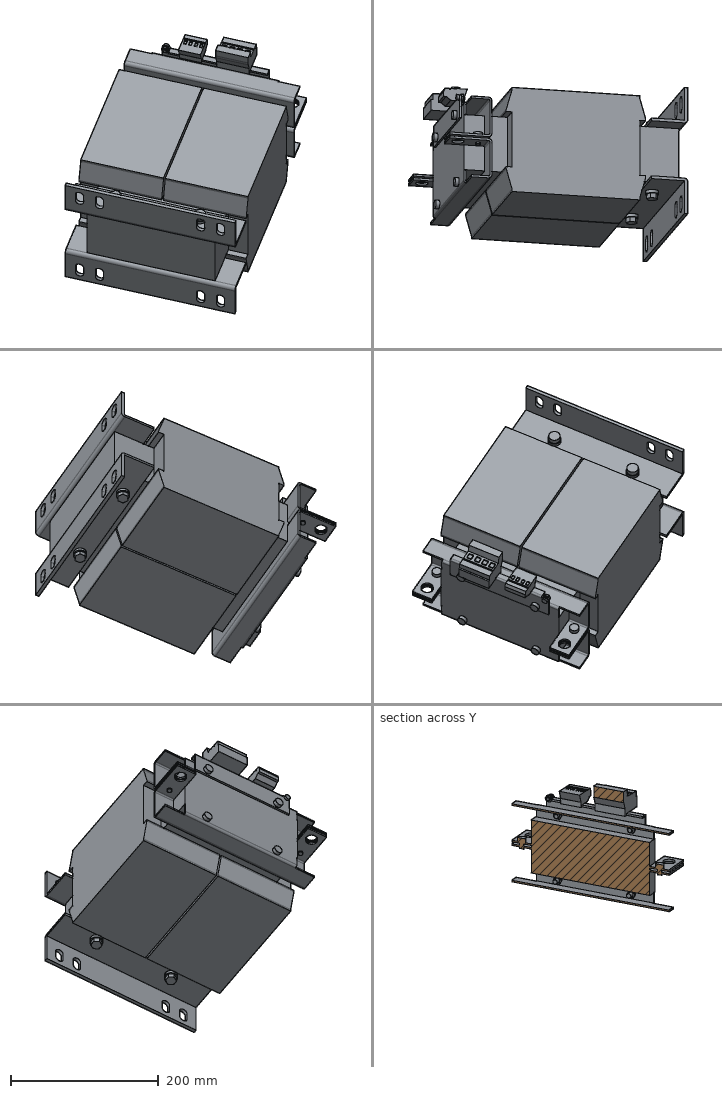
import cadquery as cq


width = 240.0
length = 331.0
height = 193.5
front_y = -length / 2
rear_y = length / 2

core_width = 181.0
core_front = -160.0
core_rear = 138.7
core_half_height = 38.7

coil_width = 236.5
coil_gap = 2.48
coil_front = -99.0
coil_rear = 78.5
coil_half_height = 146.5 / 2
coil_end_height = 3.0
coil_flare = 8.3
coil_flare_lip = 2.5

angle_half_height = 88.7
angle_wall = 5.0
angle_shelf = 4.0
angle_shelf_end = -115.0
angle_bend = 5.3
slot_width = 11.5
slot_length = 22.5
slot_height = 70.0
slot_offsets = (71.5, 99.5)

angle_bolt_x = 60.0
angle_bolt_y = -130.0
angle_bolt_head = 15.5
angle_washer = 18.0
angle_washer_thickness = 4.3
angle_bolt_top = 53.5

sheet = 3.0
channel_front = 107.0
channel_bend = 5.0
channel_half_height = 57.0
channel_gap = 2.3
lip_depth = 3.5
flange_end = core_rear - lip_depth
lip_width = 178.7
lip_bend = 3.3
lug_width = 29.8
lug_hole_x = 105.3
lug_hole_y = 150.5
lug_hole = 16.5
lug_bolt_y = 122.8
lug_bolt_head = 12.5
lug_bolt_head_height = 5.5
lug_bolt_shank = 6.5
lug_bolt_end = 6.3

lip_screw_x = 56.3
upper_lip_screw_z = 47.3
lower_lip_screw_z = -46.7
lip_screw_head = 12.0
lip_screw_head_height = 5.3
lip_screw_shank = 6.5
lip_screw_length = 12.0
lip_nut_height = 2.0

plate_left = -75.8
plate_right = 75.0
plate_thickness = 2.5
plate_top = 70.5
plate_rear = core_rear + plate_thickness
rail_left = -65.0
rail_front = 131.0
rail_bend = 2.48
earth_x = -71.0
earth_z = 68.2
earth_head = 8.0
earth_head_height = 3.3
earth_nut = 10.0
earth_nut_height = 3.0
earth_shank = 5.0
earth_reach = 5.0

terminal_top = height - angle_half_height
terminal_foot_rear = 133.7
terminal_foot_bottom = 68.0
terminal_base = 70.2
opening_y = 141.0
opening_depth = 1.5
groove_width = 1.3
groove_end = 1.0


def box(x0, x1, y0, y1, z0, z1):
    return cq.Workplane("XY").box(x1 - x0, y1 - y0, z1 - z0, centered=False).translate((x0, y0, z0))


def extrude_along_x(points, x0, x1):
    """Extrude a closed (y, z) outline from x0 to x1."""
    return cq.Workplane("YZ", origin=(x0, 0, 0)).polyline(points).close().extrude(x1 - x0)


def rod_z(x, y, z0, z1, diameter):
    return cq.Workplane("XY", origin=(x, y, z0)).circle(diameter / 2).extrude(z1 - z0)


def rod_y(x, z, y0, y1, diameter):
    return cq.Workplane("XZ", origin=(x, y0, z)).circle(diameter / 2).extrude(y0 - y1)


def hexagon_y(x, z, y0, y1, corner_diameter):
    return cq.Workplane("XZ", origin=(x, y0, z)).polygon(6, corner_diameter).extrude(y0 - y1)


def mirrored_z(shape):
    return shape.union(shape.mirror("XY"))


def make_core():
    half = core_width / 2
    core = box(-half, half, core_front, core_rear, -core_half_height, core_half_height)
    gap = coil_gap / 2
    return core.cut(box(-gap, gap, coil_front, coil_rear, -core_half_height, core_half_height))


def make_coil(x0, x1):
    """One coil: a block whose ends flare out over and under the core."""
    block = box(x0, x1, coil_front, coil_rear, -coil_half_height, coil_half_height)
    lip_top = core_half_height + coil_flare_lip
    flare_top = coil_half_height - coil_end_height
    flare = extrude_along_x(
        [
            (coil_front, flare_top),
            (coil_front - coil_flare, lip_top),
            (coil_front - coil_flare, core_half_height),
            (coil_rear + coil_flare, core_half_height),
            (coil_rear + coil_flare, lip_top),
            (coil_rear, flare_top),
        ],
        x0,
        x1,
    )
    return block.union(mirrored_z(flare))


def make_front_angle():
    """Upper front angle: a shelf on the core and a slotted wall standing up from it."""
    shelf_bottom = core_half_height
    angle = extrude_along_x(
        [
            (angle_shelf_end, shelf_bottom),
            (front_y, shelf_bottom),
            (front_y, angle_half_height),
            (front_y + angle_wall, angle_half_height),
            (front_y + angle_wall, shelf_bottom + angle_shelf),
            (angle_shelf_end, shelf_bottom + angle_shelf),
        ],
        -width / 2,
        width / 2,
    )
    angle = angle.edges("|X and <Y and <Z").fillet(angle_bend)
    slot_points = [(side * offset, slot_height) for side in (-1, 1) for offset in slot_offsets]
    slots = (
        cq.Workplane("XZ", origin=(0, front_y + angle_wall, 0))
        .pushPoints(slot_points)
        .slot2D(slot_length, slot_width, 90)
        .extrude(angle_wall)
    )
    return angle.cut(slots)


def make_angle_bolts():
    """Round heads with washers above, washers with hexagon nuts below."""
    seat = core_half_height + angle_shelf
    washer_top = seat + angle_washer_thickness
    bolts = cq.Workplane("XY")
    for x in (-angle_bolt_x, angle_bolt_x):
        washer = rod_z(x, angle_bolt_y, core_half_height, washer_top, angle_washer)
        head = rod_z(x, angle_bolt_y, washer_top, angle_bolt_top, angle_bolt_head)
        nut = (
            cq.Workplane("XY", origin=(x, angle_bolt_y, -angle_bolt_top))
            .transformed(rotate=(0, 0, 90))
            .polygon(6, angle_bolt_head)
            .extrude(angle_bolt_top - washer_top)
        )
        bolts = bolts.union(mirrored_z(washer)).union(head).union(nut)
    return bolts


def make_channel():
    """Upper rear channel: web, top flange with a turned-down lip, and two drilled lugs at the bottom."""
    half = width / 2
    bottom = channel_gap / 2
    top = channel_half_height
    body = box(-half, half, channel_front, flange_end, bottom, top)
    body = body.edges("|X and <Y").fillet(channel_bend)
    inside = box(-half, half, channel_front + sheet, flange_end, bottom + sheet, top - sheet)
    inside = inside.edges("|X and <Y").fillet(channel_bend - sheet)
    channel = body.cut(inside)

    lip_half = lip_width / 2
    lip = box(-lip_half, lip_half, flange_end, core_rear, core_half_height, top)
    lip = lip.edges("|X and >Y and >Z").fillet(lip_bend)
    lip_hollow = box(-lip_half, lip_half, flange_end, core_rear - sheet, core_half_height, top - sheet)
    channel = channel.union(lip.cut(lip_hollow))

    for side in (-1, 1):
        centre = side * (half - lug_width / 2)
        lug = box(
            centre - lug_width / 2, centre + lug_width / 2, flange_end, rear_y, bottom, bottom + sheet
        )
        hole = rod_z(side * lug_hole_x, lug_hole_y, bottom, bottom + sheet, lug_hole)
        channel = channel.union(lug.cut(hole))
    return channel


def make_lug_bolts():
    """Bolts that clamp the upper and lower channels together beside the core."""
    lug_top = channel_gap / 2 + sheet
    bolts = cq.Workplane("XY")
    for x in (-lug_hole_x, lug_hole_x):
        head = rod_z(x, lug_bolt_y, lug_top, lug_top + lug_bolt_head_height, lug_bolt_head)
        shank = rod_z(x, lug_bolt_y, -lug_bolt_end, lug_top, lug_bolt_shank)
        bolts = bolts.union(head).union(shank)
    return bolts


def make_lip_screw(x, z, seat):
    """Screw through a channel lip, its head resting at y = seat."""
    lip_front = core_rear - sheet
    head = rod_y(x, z, seat, seat + lip_screw_head_height, lip_screw_head)
    shank = rod_y(x, z, seat - lip_screw_length, seat, lip_screw_shank)
    nut = hexagon_y(x, z, lip_front - lip_nut_height, lip_front, lip_screw_head)
    return head.union(shank).union(nut)


def make_terminal_plate():
    """Upright plate on the upper lip with a rail folded forward along its top, and an earth screw."""
    plate_end = box(plate_left, rail_left, core_rear, plate_rear, core_half_height, plate_top)
    plate = box(rail_left, plate_right, core_rear, plate_rear, core_half_height, plate_top - plate_thickness)
    rail = box(rail_left, plate_right, rail_front, plate_rear, plate_top - plate_thickness, plate_top)
    rail = rail.edges("|X and >Y and >Z").fillet(rail_bend)
    earth = rod_y(earth_x, earth_z, plate_rear, plate_rear + earth_head_height, earth_head)
    earth = earth.union(hexagon_y(earth_x, earth_z, core_rear - earth_nut_height, core_rear, earth_nut))
    earth = earth.union(rod_y(earth_x, earth_z, core_rear - earth_reach, plate_rear, earth_shank))
    return plate.union(plate_end).union(rail).union(earth)


def cut_terminal_top(block, x0, x1, deck, groove_y, opening_xs, opening_width, opening_length):
    """Cut the wire openings and the shallow cross groove into a terminal's deck."""
    floor = deck - opening_depth
    half_width = opening_width / 2
    opening_front = opening_y - opening_length / 2
    opening_rear = opening_y + opening_length / 2
    for x in opening_xs:
        block = block.cut(box(x - half_width, x + half_width, opening_front, opening_rear, floor, deck))
    groove_front = groove_y - groove_width / 2
    groove_rear = groove_y + groove_width / 2
    return block.cut(box(x0 + groove_end, x1 - groove_end, groove_front, groove_rear, floor, deck))


def make_large_terminal():
    left = 5.0
    right = 51.0
    deck_front = 94.7
    deck_rear = 93.7
    block = extrude_along_x(
        [
            (132.5, terminal_top),
            (121.5, terminal_top),
            (121.5, deck_front),
            (122.0, 90.5),
            (126.5, 78.8),
            (126.5, terminal_foot_bottom),
            (terminal_foot_rear, terminal_foot_bottom),
            (terminal_foot_rear, terminal_base),
            (161.5, terminal_base),
            (161.5, 85.5),
            (159.2, 85.5),
            (159.2, deck_rear),
            (134.5, deck_front),
        ],
        left,
        right,
    )
    return cut_terminal_top(
        block,
        left,
        right,
        deck=deck_front,
        groove_y=149.0,
        opening_xs=(11.0, 22.0, 32.8, 44.5),
        opening_width=6.5,
        opening_length=7.3,
    )


def make_small_terminal():
    left = -48.3
    right = -17.2
    deck_front = 87.5
    deck_rear = 86.7
    block = extrude_along_x(
        [
            (123.8, deck_front),
            (128.0, 75.5),
            (128.0, terminal_foot_bottom),
            (terminal_foot_rear, terminal_foot_bottom),
            (terminal_foot_rear, terminal_base),
            (147.0, terminal_base),
            (153.5, 75.0),
            (157.0, 75.0),
            (157.0, 81.8),
            (155.0, deck_rear),
        ],
        left,
        right,
    )
    return cut_terminal_top(
        block,
        left,
        right,
        deck=deck_front,
        groove_y=147.5,
        opening_xs=(-43.7, -36.5, -28.5, -21.2),
        opening_width=3.5,
        opening_length=5.5,
    )


result = make_core()
for x_start, x_end in ((-coil_width / 2, -coil_gap / 2), (coil_gap / 2, coil_width / 2)):
    result = result.union(make_coil(x_start, x_end))
result = result.union(mirrored_z(make_front_angle())).union(make_angle_bolts())
result = result.union(mirrored_z(make_channel())).union(make_lug_bolts())
result = result.union(make_terminal_plate())
for screw_x in (-lip_screw_x, lip_screw_x):
    result = result.union(make_lip_screw(screw_x, upper_lip_screw_z, plate_rear))
    result = result.union(make_lip_screw(screw_x, lower_lip_screw_z, core_rear))
result = result.union(make_large_terminal()).union(make_small_terminal())